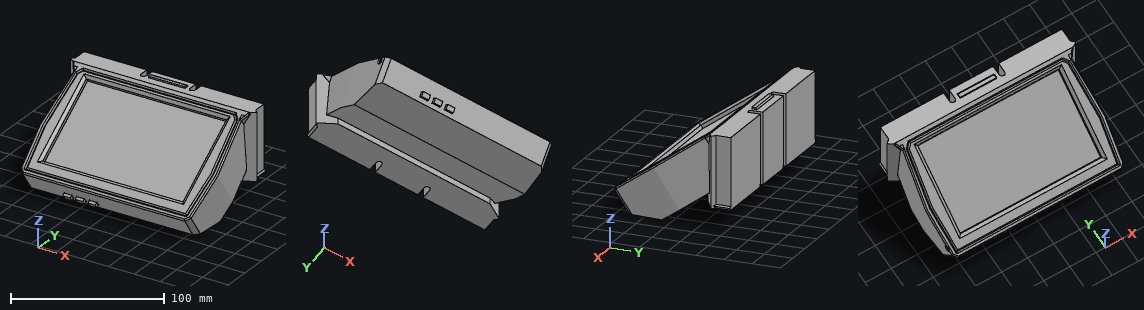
import cadquery as cq
import math


BRACKET_TOP = 65.4
BRACKET_BOTTOM = 14.8
BRACKET_FRONT = -20.4
BACK_HALF_WIDTH = 69.7
RIM_START = -10.4
RIM_TIP = -12.9
RIM_HALF_WIDTH = 72.3
RIM_BEVEL = 0.9
FRONT_HALF_WIDTH = 60.2

LIP_HALF_WIDTH = 71.0
LIP_HEIGHT = 2.7
LIP_RIDGE_HEIGHT = 1.7

SLOT_WIDTH = 4.0
SLOT_DEPTH = 9.5
SLOT_X = 19.0

CATCH_LENGTH = 28.0
CATCH_BACK = -5.4
CATCH_FRONT = -9.1
CATCH_HEIGHT = 1.2
CATCH_BEVEL = 1.0

TILT = 35.0
FACE_TOP_Y = -15.3
FACE_LENGTH = 87.0
HOUSING_DEPTH = 33.7
NECK_HALF_WIDTH = 69.1
SHOULDER_DROP = 6.8
SHOULDER_HALF_WIDTH = 65.0
WAIST_DROP = 49.6
WAIST_HALF_WIDTH = 68.9
CORNER_CUT = 3.2
FOOT_HALF_WIDTH = 66.0
EDGE_BEVEL = 1.0
BEVEL_ANGLE = 45.0
RELIEF_HALF_WIDTH = 63.7
RELIEF_DROP = 3.2
RELIEF_DEPTH = 0.1

BEZEL_THICKNESS = 4.3
BEZEL_TOP_DROP = 3.9
BEZEL_TOP_HALF_WIDTH = 58.7
BEZEL_SHOULDER_DROP = 7.5
BEZEL_SHOULDER_HALF_WIDTH = 61.8
BEZEL_WAIST_HALF_WIDTH = 65.0
BEZEL_BOTTOM_DROP = 83.0
BEZEL_BOTTOM_HALF_WIDTH = 62.0

WINDOW_WIDTH = 113.1
WINDOW_HEIGHT = 69.5
WINDOW_TOP_DROP = 6.7
WINDOW_TAPER_INSET = 2.3
WINDOW_TAPER_DEPTH = 1.7
SCREEN_THICKNESS = 1.5

BUTTON_COUNT = 3
BUTTON_PITCH = 9.7
FIRST_BUTTON_X = -31.5
BUTTON_WIDTH = 6.1
BUTTON_TIP_WIDTH = 5.6
BUTTON_HEIGHT = 3.6
BUTTON_TOP_DEPTH = 11.9
BUTTON_PROTRUSION = 2.2
BUTTON_SEAT = 1.5

SIDE_HOLE_DROP = 78.5
SIDE_HOLE_DEPTH = 3.2
SIDE_HOLE_DIAMETERS = (4.0, 2.5, 1.7)
SIDE_HOLE_FIRST_STEP_X = -65.4
SIDE_HOLE_STEP_LENGTH = 0.7

CLIP_SIZE = 289.3


def mirrored(right_points):
    """Closes a right-hand half outline with its mirror image."""
    return right_points + [(-x, y) for x, y in reversed(right_points)]


def tilted(body):
    """Moves a body from the frame of the sloped face to its place."""
    return body.rotate((0, 0, 0), (1, 0, 0), TILT).translate((0, FACE_TOP_Y, BRACKET_TOP))


def make_bracket():
    """Wall block with flared sides, cut off by the plane of the sloped face."""
    outline = mirrored([
        (BACK_HALF_WIDTH, 0),
        (BACK_HALF_WIDTH, RIM_START),
        (RIM_HALF_WIDTH, RIM_TIP),
        (RIM_HALF_WIDTH - RIM_BEVEL, RIM_TIP - RIM_BEVEL),
        (FRONT_HALF_WIDTH, BRACKET_FRONT),
    ])
    block = (
        cq.Workplane("XY", origin=(0, 0, BRACKET_BOTTOM))
        .polyline(outline).close().extrude(BRACKET_TOP - BRACKET_BOTTOM)
    )
    above_face = tilted(cq.Workplane("XY").rect(CLIP_SIZE, CLIP_SIZE).extrude(CLIP_SIZE))
    return block.cut(above_face)


def make_lip():
    """Ridge along the lower edge of both bracket sides."""
    outline = mirrored([
        (BACK_HALF_WIDTH, BRACKET_BOTTOM),
        (LIP_HALF_WIDTH, BRACKET_BOTTOM + LIP_RIDGE_HEIGHT),
        (BACK_HALF_WIDTH, BRACKET_BOTTOM + LIP_HEIGHT),
    ])
    return cq.Workplane("XZ").polyline(outline).close().extrude(-RIM_TIP)


def make_catch():
    """Low bar on the bracket top, sloped on its wall side."""
    outline = [
        (CATCH_BACK, BRACKET_TOP),
        (CATCH_BACK - CATCH_BEVEL, BRACKET_TOP + CATCH_HEIGHT),
        (CATCH_FRONT, BRACKET_TOP + CATCH_HEIGHT),
        (CATCH_FRONT, BRACKET_TOP),
    ]
    return cq.Workplane("YZ").polyline(outline).close().extrude(CATCH_LENGTH / 2, both=True)


def make_slots():
    """Two round-ended slots, open at the wall side."""
    return (
        cq.Workplane("XY", origin=(0, 0, BRACKET_BOTTOM))
        .pushPoints([(-SLOT_X, 0), (SLOT_X, 0)])
        .slot2D(2 * SLOT_DEPTH, SLOT_WIDTH, 90)
        .extrude(BRACKET_TOP - BRACKET_BOTTOM)
    )


def make_display_block():
    """Tilted block with beveled face edges, cut flat underneath and at the bracket."""
    outline = mirrored([
        (NECK_HALF_WIDTH, 0),
        (SHOULDER_HALF_WIDTH, -SHOULDER_DROP),
        (WAIST_HALF_WIDTH, -WAIST_DROP),
        (FOOT_HALF_WIDTH, CORNER_CUT - FACE_LENGTH),
        (FOOT_HALF_WIDTH - CORNER_CUT, -FACE_LENGTH),
    ])
    block = (
        cq.Workplane("XY").polyline(outline).close().extrude(-HOUSING_DEPTH)
        .faces(">Z").edges("not(>Y)").chamfer(EDGE_BEVEL)
    )
    room = cq.Workplane("XY").box(CLIP_SIZE, CLIP_SIZE, BRACKET_TOP, centered=(True, False, False))
    return tilted(block).intersect(room.translate((0, RIM_TIP - CLIP_SIZE, 0)))


def make_corner_reliefs():
    """Shallow triangular steps between the face and the two shoulder bevels."""
    triangle = [
        (RELIEF_HALF_WIDTH, -RELIEF_DROP),
        (RELIEF_HALF_WIDTH, -SHOULDER_DROP),
        (SHOULDER_HALF_WIDTH, -SHOULDER_DROP),
        (NECK_HALF_WIDTH, -RELIEF_DROP),
    ]
    relief = cq.Workplane("XY").polyline(triangle).close().extrude(-RELIEF_DEPTH)
    return tilted(relief.union(relief.mirror("YZ")))


def bezel_outline():
    """Eight-sided outline, widest at the waist."""
    return cq.Workplane("XY").polyline(mirrored([
        (BEZEL_TOP_HALF_WIDTH, -BEZEL_TOP_DROP),
        (BEZEL_SHOULDER_HALF_WIDTH, -BEZEL_SHOULDER_DROP),
        (BEZEL_WAIST_HALF_WIDTH, -WAIST_DROP),
        (BEZEL_BOTTOM_HALF_WIDTH, -BEZEL_BOTTOM_DROP),
    ])).close()


def make_bezel_pocket():
    """Seat of the bezel, its mouth beveled to form a V groove with the bezel edge."""
    seat = bezel_outline().extrude(-BEZEL_THICKNESS)
    mouth = bezel_outline().extrude(EDGE_BEVEL, taper=-BEVEL_ANGLE).translate((0, 0, -EDGE_BEVEL))
    return tilted(seat.union(mouth))


def make_bezel():
    """Beveled plate with a window that narrows from the face inwards."""
    plate = bezel_outline().extrude(-BEZEL_THICKNESS).faces(">Z").edges().chamfer(EDGE_BEVEL)
    window_centre = (0, -WINDOW_TOP_DROP - WINDOW_HEIGHT / 2)
    opening = (
        cq.Workplane("XY").center(*window_centre)
        .rect(WINDOW_WIDTH - 2 * WINDOW_TAPER_INSET, WINDOW_HEIGHT - 2 * WINDOW_TAPER_INSET)
        .extrude(-BEZEL_THICKNESS)
    )
    taper_angle = math.degrees(math.atan2(WINDOW_TAPER_INSET, WINDOW_TAPER_DEPTH))
    funnel = (
        cq.Workplane("XY").center(*window_centre)
        .rect(WINDOW_WIDTH, WINDOW_HEIGHT).extrude(-WINDOW_TAPER_DEPTH, taper=taper_angle)
    )
    return tilted(plate.cut(opening).cut(funnel))


def make_screen():
    """Flat plate directly behind the bezel."""
    return tilted(
        cq.Workplane("XY", origin=(0, -WINDOW_TOP_DROP - WINDOW_HEIGHT / 2, -BEZEL_THICKNESS))
        .rect(WINDOW_WIDTH, WINDOW_HEIGHT).extrude(-SCREEN_THICKNESS)
    )


def make_button(index):
    """A straight shank in the housing with a slightly tapered cap in front of it."""
    outline = mirrored([
        (BUTTON_WIDTH / 2, BUTTON_SEAT),
        (BUTTON_WIDTH / 2, 0),
        (BUTTON_TIP_WIDTH / 2, -BUTTON_PROTRUSION),
    ])
    button_x = FIRST_BUTTON_X + index * BUTTON_PITCH
    return tilted(
        cq.Workplane("XY", origin=(button_x, -FACE_LENGTH, -BUTTON_TOP_DEPTH))
        .polyline(outline).close().extrude(-BUTTON_HEIGHT)
    )


def make_side_hole():
    """Coaxial bores, each narrower and deeper than the one before."""
    hole = cq.Workplane("YZ")
    for step, diameter in enumerate(SIDE_HOLE_DIAMETERS):
        end_x = SIDE_HOLE_FIRST_STEP_X + step * SIDE_HOLE_STEP_LENGTH
        bore = (
            cq.Workplane("YZ", origin=(end_x, -SIDE_HOLE_DROP, -SIDE_HOLE_DEPTH))
            .circle(diameter / 2).extrude(-WAIST_HALF_WIDTH - end_x)
        )
        hole = hole.union(bore)
    return tilted(hole)


bezel = make_bezel()
screen = make_screen()
buttons = [make_button(index) for index in range(BUTTON_COUNT)]

housing = (
    make_bracket().union(make_lip()).union(make_catch()).cut(make_slots())
    .union(make_display_block())
    .cut(make_corner_reliefs()).cut(make_bezel_pocket()).cut(screen).cut(make_side_hole())
)
for button in buttons:
    housing = housing.cut(button)

result = cq.Compound.makeCompound([
    housing.val(), bezel.val(), screen.val(), *[button.val() for button in buttons],
])